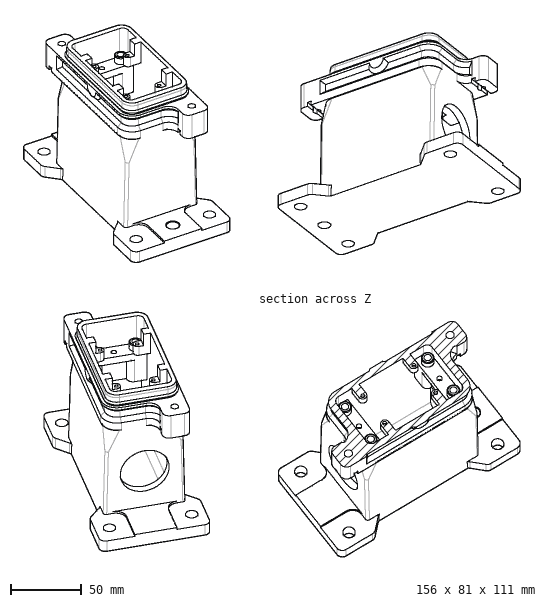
import cadquery as cq
import math

FLANGE_LENGTH = 156.0
FLANGE_WIDTH = 81.0
FLANGE_HEIGHT = 9.2
FLANGE_RADIUS = 4.7
WING_WIDE_X = 48.8
WAIST_HALF_WIDTH = 29.6
PAD_HEIGHT = 10.8
PAD_HALF_WIDTH = 15.5
PAD_FLARE_RADIUS = 7.8
MOUNT_HOLE_DIAMETER = 8.7
MOUNT_HOLE_X = 63.6
MOUNT_HOLE_Y = 30.1
EARTH_HOLE_DIAMETER = 9.0
EARTH_HOLE_CHAMFER = 0.5

BODY_HALF_X = 48.0
BODY_BASE_HALF_Y = 30.1
BODY_TOP_HALF_Y = 28.2
BODY_CORNER_RADIUS = 2.0
SHOULDER_RADIUS = 9.8
SHOULDER_Z = 64.1

COLLAR_BOTTOM = 82.0
COLLAR_TOP = 101.9
COLLAR_HALF_Y = 29.0
COLLAR_RADIUS = 11.9
LUG_END_X = 66.6
LUG_INNER_Y = 9.0
LUG_RADIUS = 5.0
LUG_BLEND_RADIUS = 7.8
LUG_HOLE_DIAMETER = 5.5
LUG_HOLE_X = 57.0
LUG_HOLE_Y = 19.5
NOTCH_SIZE = 3.1

GROOVE_BOTTOM = 88.3
GROOVE_TOP = 99.8
GROOVE_DEPTH = 3.0
GROOVE_END_SLOPE = 4.7
STUD_RADIUS = 5.8

NECK_TOP = 111.0
NECK_HALF_X = 45.4
NECK_HALF_Y = 26.0
NECK_RADIUS = 8.5
NECK_EDGE_HEIGHT = 2.2
NECK_EDGE_INSET = 0.3
BEAD_OUTSET = 1.2
BEAD_FOOT_OUTSET = 0.5
BEAD_WIDEST_Z = 103.5
BEAD_END_Z = 104.8

CAVITY_HALF_X = 40.7
CAVITY_HALF_Y = 22.6
CAVITY_RADIUS = 4.2
FLOOR_Z = 9.4
FLOOR_FILLET = 4.7
LOWER_CAVITY_HALF_X = 42.5
CABLE_HOLE_DIAMETER = 35.7
CABLE_HOLE_Z = 42.3

SHELF_INNER_X = 28.7
SHELF_TOP = 87.2
SHELF_BOTTOM = 62.4
RECESS_TOP = 81.5
RECESS_HALF_WIDTH = 13.7
RECESS_DEPTH = 5.1
RECESS_MOUTH_RADIUS = 4.7
SHELF_HOLE_DIAMETER = 3.7
SHELF_HOLE_X = 34.5
SHELF_HOLE_DEPTH = 4.7
BOSS_DIAMETER = 9.0
BOSS_TOP = 92.8
BOSS_CHAMFER = 0.6
BOSS_X = 35.4
BOSS_Y = 16.0
BOSS_SOCKET_DIAMETER = 5.1

GUIDE_X = 21.8
GUIDE_WIDTH = 6.4
GUIDE_INNER_Y = 17.5
GUIDE_BOTTOM = 93.1
PILLAR_TOP = 101.0
PILLAR_INNER_Y = 10.8
PILLAR_HOLE_Y = 13.5
PILLAR_HOLE_DIAMETER = 2.5
PILLAR_HOLE_DEPTH = 4.7

OVERLAP = 1.5


def rounded_outline(z, corners):
    """Closed wire at height z through (x, y, radius) corners, each rounded by a tangent arc."""
    arcs = []
    for i, (x, y, radius) in enumerate(corners):
        directions = []
        for other_x, other_y, _ in (corners[i - 1], corners[(i + 1) % len(corners)]):
            length = math.hypot(other_x - x, other_y - y)
            directions.append(((other_x - x) / length, (other_y - y) / length))
        (ax, ay), (bx, by) = directions
        half_angle = math.acos(ax * bx + ay * by) / 2
        tangent = radius / math.tan(half_angle)
        middle = radius / math.sin(half_angle) - radius
        sum_length = math.hypot(ax + bx, ay + by)
        arcs.append((
            (x + ax * tangent, y + ay * tangent),
            (x + (ax + bx) / sum_length * middle, y + (ay + by) / sum_length * middle),
            (x + bx * tangent, y + by * tangent),
        ))
    wire = cq.Workplane("XY", origin=(0, 0, z)).moveTo(*arcs[0][0])
    for i, (start, middle, end) in enumerate(arcs):
        if i > 0:
            wire = wire.lineTo(*start)
        wire = wire.threePointArc(middle, end)
    return wire.close()


def rectangle_outline(z, half_x, half_y, radius):
    signs = ((-1, -1), (1, -1), (1, 1), (-1, 1))
    return rounded_outline(z, [(sx * half_x, sy * half_y, radius) for sx, sy in signs])


def stack(outlines):
    """Solid with straight sides through a series of matching outlines."""
    wires = [outline.val() for outline in outlines]
    solid = cq.Workplane(cq.Solid.makeLoft(wires[:2], True))
    for lower, upper in zip(wires[1:], wires[2:]):
        solid = solid.union(cq.Workplane(cq.Solid.makeLoft([lower, upper], True)))
    return solid


def box(x_range, y_range, z_range):
    sizes = [high - low for low, high in (x_range, y_range, z_range)]
    corner = (x_range[0], y_range[0], z_range[0])
    return cq.Workplane("XY").box(*sizes, centered=False).translate(corner)


def cylinder(x, y, diameter, bottom, top):
    return cq.Workplane("XY", origin=(x, y, bottom)).circle(diameter / 2).extrude(top - bottom)


def half_turn(solid):
    return solid.rotate((0, 0, 0), (0, 0, 1), 180)


def both_ends(solid):
    return solid.union(solid.mirror("YZ"))


def four_places(solid):
    half = both_ends(solid)
    return half.union(half.mirror("XZ"))


def make_flange():
    half_x = FLANGE_LENGTH / 2
    half_y = FLANGE_WIDTH / 2
    waist_x = WING_WIDE_X - (half_y - WAIST_HALF_WIDTH)
    quarter = [
        (half_x, half_y, FLANGE_RADIUS),
        (WING_WIDE_X, half_y, FLANGE_RADIUS),
        (waist_x, WAIST_HALF_WIDTH, FLANGE_RADIUS),
    ]
    right = quarter[::-1] + [(x, -y, r) for x, y, r in quarter]
    left = [(-x, -y, r) for x, y, r in right]
    flange = rounded_outline(0, right + left).extrude(FLANGE_HEIGHT)

    flare_x = BODY_HALF_X + PAD_FLARE_RADIUS
    flare_y = PAD_HALF_WIDTH + PAD_FLARE_RADIUS
    flare_mid = PAD_FLARE_RADIUS * math.sqrt(0.5)
    pad = (
        cq.Workplane("XY")
        .moveTo(half_x, -PAD_HALF_WIDTH)
        .lineTo(half_x, PAD_HALF_WIDTH)
        .lineTo(flare_x, PAD_HALF_WIDTH)
        .threePointArc((flare_x - flare_mid, flare_y - flare_mid), (BODY_HALF_X, flare_y))
        .lineTo(BODY_HALF_X - OVERLAP, flare_y)
        .lineTo(BODY_HALF_X - OVERLAP, -flare_y)
        .lineTo(BODY_HALF_X, -flare_y)
        .threePointArc((flare_x - flare_mid, flare_mid - flare_y), (flare_x, -PAD_HALF_WIDTH))
        .close()
        .extrude(PAD_HEIGHT)
    )
    flange = flange.union(both_ends(pad))
    mount_hole = cylinder(MOUNT_HOLE_X, MOUNT_HOLE_Y, MOUNT_HOLE_DIAMETER, 0, PAD_HEIGHT)
    earth_hole = cylinder(MOUNT_HOLE_X, 0, EARTH_HOLE_DIAMETER, 0, PAD_HEIGHT)
    flange = flange.cut(four_places(mount_hole)).cut(earth_hole)
    mouth = cq.Solid.makeCone(
        EARTH_HOLE_DIAMETER / 2,
        EARTH_HOLE_DIAMETER / 2 + EARTH_HOLE_CHAMFER,
        EARTH_HOLE_CHAMFER,
        pnt=(MOUNT_HOLE_X, 0, PAD_HEIGHT - EARTH_HOLE_CHAMFER),
    )
    return flange.cut(cq.Workplane(mouth))


def make_body():
    draft = (BODY_BASE_HALF_Y - BODY_TOP_HALF_Y) / COLLAR_BOTTOM
    shoulder_half_y = BODY_BASE_HALF_Y - draft * SHOULDER_Z
    return stack([
        rectangle_outline(0, BODY_HALF_X, BODY_BASE_HALF_Y, BODY_CORNER_RADIUS),
        rectangle_outline(SHOULDER_Z, BODY_HALF_X, shoulder_half_y, BODY_CORNER_RADIUS),
        rectangle_outline(COLLAR_BOTTOM, BODY_HALF_X, BODY_TOP_HALF_Y, SHOULDER_RADIUS),
    ])


def collar_outline(z, inset=0.0):
    """Rounded rectangle with a lug at two opposite corners, moved inward by the inset."""
    half_x = BODY_HALF_X - inset
    half_y = COLLAR_HALF_Y - inset
    lug_x = LUG_END_X - inset
    lug_y = LUG_INNER_Y + inset
    half = [
        (-lug_x, -half_y, LUG_RADIUS - inset),
        (half_x, -half_y, COLLAR_RADIUS - inset),
        (half_x, lug_y, LUG_BLEND_RADIUS + inset),
        (lug_x, lug_y, LUG_RADIUS - inset),
    ]
    return rounded_outline(z, half + [(-x, -y, r) for x, y, r in half])


def make_groove():
    """Trapezoidal groove on one long side, carried round the corner to the lug beyond it."""
    core = stack([
        collar_outline(GROOVE_BOTTOM),
        collar_outline(GROOVE_BOTTOM + GROOVE_DEPTH, GROOVE_DEPTH),
        collar_outline(GROOVE_TOP - GROOVE_DEPTH, GROOVE_DEPTH),
        collar_outline(GROOVE_TOP),
    ])
    lug_end_x = BODY_HALF_X + LUG_BLEND_RADIUS
    corner_x = BODY_HALF_X - COLLAR_RADIUS
    floor_y = GROOVE_DEPTH - COLLAR_HALF_Y
    inner_y = LUG_INNER_Y + GROOVE_DEPTH
    outside_y = -COLLAR_HALF_Y - OVERLAP
    band = (
        cq.Workplane("XY", origin=(0, 0, GROOVE_BOTTOM))
        .polyline([
            (-BODY_HALF_X, outside_y),
            (-BODY_HALF_X, -COLLAR_HALF_Y),
            (GROOVE_DEPTH - BODY_HALF_X, floor_y),
            (corner_x, floor_y),
            (corner_x, inner_y),
            (lug_end_x - GROOVE_END_SLOPE, inner_y),
            (lug_end_x, LUG_INNER_Y),
            (lug_end_x, outside_y),
        ])
        .close()
        .extrude(GROOVE_TOP - GROOVE_BOTTOM)
    )
    return band.cut(core).cut(make_stud())


def make_stud():
    """Conical half-round stud hanging from the groove roof, widest at the groove floor."""
    cone = cq.Solid.makeCone(
        STUD_RADIUS,
        STUD_RADIUS + GROOVE_DEPTH,
        GROOVE_DEPTH,
        pnt=(0, -COLLAR_HALF_Y, GROOVE_TOP),
        dir=(0, 1, 0),
    )
    return cq.Workplane(cone)


def make_collar():
    collar = collar_outline(COLLAR_BOTTOM).extrude(COLLAR_TOP - COLLAR_BOTTOM)
    groove = make_groove()
    lug_hole = cylinder(LUG_HOLE_X, LUG_HOLE_Y, LUG_HOLE_DIAMETER, COLLAR_BOTTOM, COLLAR_TOP)
    notch = box(
        (LUG_HOLE_X - NOTCH_SIZE / 2, LUG_HOLE_X + NOTCH_SIZE / 2),
        (0, COLLAR_HALF_Y),
        (COLLAR_BOTTOM, COLLAR_BOTTOM + NOTCH_SIZE),
    )
    for cutter in (groove, lug_hole, notch):
        collar = collar.cut(cutter).cut(half_turn(cutter))
    return collar


def make_neck():
    def section(z, outset):
        return rectangle_outline(z, NECK_HALF_X + outset, NECK_HALF_Y + outset, NECK_RADIUS + outset)

    return stack([
        section(COLLAR_TOP, BEAD_FOOT_OUTSET),
        section(BEAD_WIDEST_Z, BEAD_OUTSET),
        section(BEAD_END_Z, 0),
        section(NECK_TOP - NECK_EDGE_HEIGHT, 0),
        section(NECK_TOP, -NECK_EDGE_INSET),
    ])


def make_cavity():
    """Inner space, open at the top, longer below the shelves, filleted along the long floor edges."""
    upper = rectangle_outline(SHELF_BOTTOM, CAVITY_HALF_X, CAVITY_HALF_Y, CAVITY_RADIUS)
    lower = box(
        (-LOWER_CAVITY_HALF_X, LOWER_CAVITY_HALF_X),
        (-CAVITY_HALF_Y, CAVITY_HALF_Y),
        (FLOOR_Z, SHELF_BOTTOM),
    )
    lower = lower.faces("<Z").edges("|X").fillet(FLOOR_FILLET)
    return upper.extrude(NECK_TOP - SHELF_BOTTOM).union(lower)


def make_shelves():
    wall_x = LOWER_CAVITY_HALF_X + OVERLAP
    wall_y = CAVITY_HALF_Y + OVERLAP
    shelf = box((SHELF_INNER_X, wall_x), (-wall_y, wall_y), (SHELF_BOTTOM, SHELF_TOP))

    back_x = SHELF_INNER_X + RECESS_DEPTH
    mouth_y = RECESS_HALF_WIDTH
    throat_y = mouth_y - RECESS_MOUTH_RADIUS
    round_x = SHELF_INNER_X + RECESS_MOUTH_RADIUS
    arc_mid = RECESS_MOUTH_RADIUS * math.sqrt(0.5)
    recess = (
        cq.Workplane("XY", origin=(0, 0, SHELF_BOTTOM))
        .moveTo(SHELF_INNER_X, -mouth_y)
        .threePointArc((round_x - arc_mid, arc_mid - mouth_y), (round_x, -throat_y))
        .lineTo(back_x, -throat_y)
        .lineTo(back_x, throat_y)
        .lineTo(round_x, throat_y)
        .threePointArc((round_x - arc_mid, mouth_y - arc_mid), (SHELF_INNER_X, mouth_y))
        .close()
        .extrude(RECESS_TOP - SHELF_BOTTOM)
    )
    hole = cylinder(SHELF_HOLE_X, 0, SHELF_HOLE_DIAMETER, SHELF_TOP - SHELF_HOLE_DEPTH, SHELF_TOP)
    shelf = shelf.cut(recess).cut(hole)

    boss = cylinder(BOSS_X, BOSS_Y, BOSS_DIAMETER, SHELF_TOP - OVERLAP, BOSS_TOP)
    boss = boss.faces(">Z").chamfer(BOSS_CHAMFER)
    socket_radius = BOSS_SOCKET_DIAMETER / 2
    socket = cq.Solid.makeCone(
        0, socket_radius, socket_radius, pnt=(BOSS_X, BOSS_Y, BOSS_TOP - socket_radius)
    )
    return both_ends(shelf).union(four_places(boss.cut(cq.Workplane(socket))))


def make_guides():
    """Four flat guides on the long walls, each with a lower round-nosed pillar in front."""
    half_width = GUIDE_WIDTH / 2
    sides = (GUIDE_X - half_width, GUIDE_X + half_width)
    guide = box(sides, (GUIDE_INNER_Y, CAVITY_HALF_Y + OVERLAP), (GUIDE_BOTTOM, NECK_TOP))
    nose_y = PILLAR_INNER_Y + half_width
    pillar = box(sides, (nose_y, CAVITY_HALF_Y), (GUIDE_BOTTOM, PILLAR_TOP))
    pillar = pillar.union(cylinder(GUIDE_X, nose_y, GUIDE_WIDTH, GUIDE_BOTTOM, PILLAR_TOP))
    hole_bottom = PILLAR_TOP - PILLAR_HOLE_DEPTH
    hole = cylinder(GUIDE_X, PILLAR_HOLE_Y, PILLAR_HOLE_DIAMETER, hole_bottom, PILLAR_TOP)
    return four_places(guide.union(pillar.cut(hole)))


def make_cable_hole():
    return (
        cq.Workplane("YZ", origin=(-BODY_HALF_X, 0, CABLE_HOLE_Z))
        .circle(CABLE_HOLE_DIAMETER / 2)
        .extrude(BODY_HALF_X - SHELF_INNER_X)
    )


shell = make_flange().union(make_body()).union(make_collar()).union(make_neck())
shell = shell.cut(make_cavity()).cut(make_cable_hole())
result = shell.union(make_shelves()).union(make_guides())